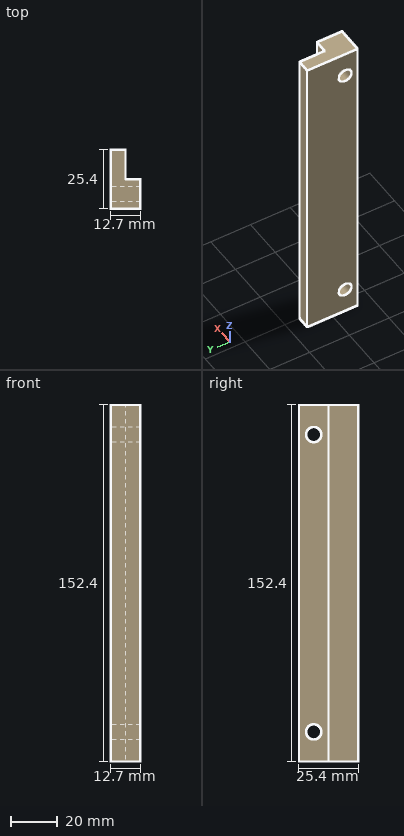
import cadquery as cq

length = 152.4
depth = length / 6
thickness = depth / 2

lip_thickness = thickness / 2
step_y = depth / 2

hole_diameter = 6.4
hole_y = step_y / 2
hole_end_distance = thickness

bar = (
    cq.Workplane("XY")
    .moveTo(0, 0)
    .lineTo(thickness, 0)
    .lineTo(thickness, step_y)
    .lineTo(lip_thickness, step_y)
    .lineTo(lip_thickness, depth)
    .lineTo(0, depth)
    .close()
    .extrude(length)
)

holes = (
    cq.Workplane("YZ")
    .pushPoints([(hole_y, hole_end_distance), (hole_y, length - hole_end_distance)])
    .circle(hole_diameter / 2)
    .extrude(thickness)
)

result = bar.cut(holes)